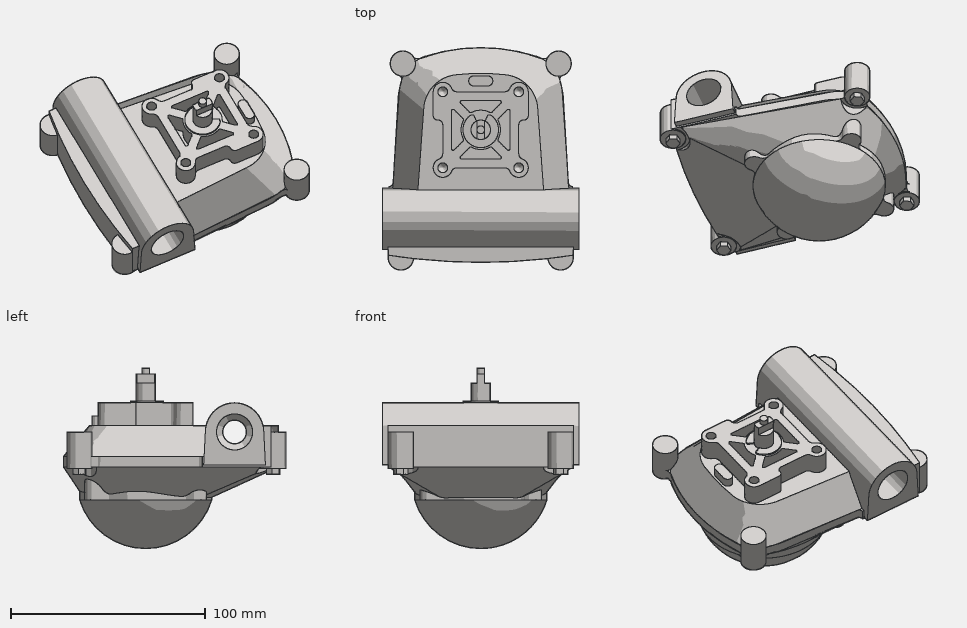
import cadquery as cq
import math


DECK_Z = -11.8
RIM_TOP_Z = -27.5
RIM_BOTTOM_Z = -33.0
DOME_TOP_Z = -49.9
DOME_BOTTOM_Z = -74.9
SINK = 1.0

SEAT_Y = -45.6
DECK_SIDE_X, DECK_SEAT_X = 29.3, 33.3
DECK_SIDE_Y = 10.4
DECK_CORNER_MID = (23.5, 23.3)
DECK_BACK_CORNER = (13.5, 28.2)
DECK_BACK_Y = 29.0
RIM_SEAT_X = 46.3
RIM_SIDE = (41.7, 20.8)
RIM_CORNER_MID = (36.9, 32.0)
RIM_BACK_CORNER = (28.5, 37.8)
RIM_BACK_Y = 42.22
SIDE_END = (42.4, 16.9)
SIDE_BEND_MID = (41.8, 20.8)
WEB_X, WEB_START_Y, WEB_BACK_Y = 40.8, 24.3, 36.7
WEB_BACK_END_X = 30.5
WEB_FILLET = 1.2
FLARE_TOP = (45.0, -26.9)
FLARE_RADIUS = 2.2
FLARE_HALF_WIDTH = FLARE_TOP[0] + FLARE_RADIUS
FRONT_HALF_WIDTH = 47.6
FRONT_CORNER_Y, FRONT_Y = -64.3, -68.1
COVER_FOOT_RADIUS = 31.0

CONDUIT_LENGTH = 101.0
CONDUIT_RADIUS = 15.0
CONDUIT_FOOT_HALF_WIDTH = 15.85
CONDUIT_BOTTOM_Z = -31.9
ENTRY_DIAMETER, BORE_DIAMETER = 18.5, 12.0
ENTRY_DEPTH = 25.0
DRILL_POINT_ANGLE = 118.0

BACK_POST_RADIUS, FRONT_POST_RADIUS = 6.5, 6.6
BACK_POST = (40.0, 34.0)
FRONT_POST = (41.0, -65.42)
POST_TOP_Z, POST_BOTTOM_Z = -15.1, -33.8
HEAD_BOTTOM_Z = -36.8
HEAD_CORNER_DIAMETER, HEAD_TURN = 7.4, -8.0
SPOTFACE_RADIUS = 8.8

DOME_RADIUS = 34.0
EAR_OFFSET, EAR_RADIUS, EAR_FILLET = 26.3, 5.0, 3.6

PLATE_HOLE_OFFSET, PLATE_HOLE_DIAMETER = 19.5, 5.0
PLATE_HOLE_DEPTH = 10.0
PLATE_EAR_RADIUS = 4.9
PLATE_FILLET, LUG_FILLET = 3.0, 2.35
LUG_BOTTOM_Y = 5.0
POCKET_REACH, HUB_RADIUS, RIB_WIDTH = 15.0, 10.1, 4.7
POCKET_CORNER_RADIUS = 0.8

PAD_Y, PAD_LENGTH, PAD_WIDTH, PAD_TOP_Z = 25.1, 12.4, 5.1, -6.8

STEM_RADIUS, STEM_TOP_Z = 5.0, 10.1
TANG_THICKNESS, TANG_TOP_Z = 4.0, 14.8
TIP_RADIUS, TIP_TOP_Z = 2.0, 17.8
CLIP_RADIUS, CLIP_THICKNESS = 9.15, 0.8
CLIP_MOUTH_NECK, CLIP_MOUTH_WIDTH = 3.9, 7.4
CLIP_MOUTH_Y, CLIP_PRONG_Y = 4.0, 7.7


def mirrored(point):
    return (-point[0], point[1])


def both_sides(point):
    return [point, mirrored(point)]


def corner_points(offset):
    return [(x, y) for x in (-offset, offset) for y in (-offset, offset)]


def cylinder(radius, bottom, top, center=(0, 0)):
    return cq.Workplane("XY", (*center, bottom)).circle(radius).extrude(top - bottom)


def fillet_upright_edges(body, points, mid_z, radius):
    """Round the vertical edge nearest to each (x, y) point at height mid_z."""
    for x, y in points:
        body = body.edges(cq.selectors.NearestToPointSelector((x, y, mid_z))).fillet(radius)
    return body


def drill_point_depth(radius_step):
    return radius_step / math.tan(math.radians(DRILL_POINT_ANGLE / 2))


def ruled_loft(upper, lower):
    return cq.Workplane(cq.Solid.makeLoft([upper.val(), lower.val()], True))


def housing_outline(z, seat_x, side, corner_mid, back_corner, back_y):
    """Closed outline from the conduit axis round the back of the housing."""
    return (
        cq.Workplane("XY", (0, 0, z))
        .moveTo(-seat_x, SEAT_Y)
        .lineTo(seat_x, SEAT_Y)
        .lineTo(*side)
        .threePointArc(corner_mid, back_corner)
        .threePointArc((0, back_y), mirrored(back_corner))
        .threePointArc(mirrored(corner_mid), mirrored(side))
        .close()
    )


def sloped_housing():
    deck = housing_outline(
        DECK_Z, DECK_SEAT_X, (DECK_SIDE_X, DECK_SIDE_Y), DECK_CORNER_MID, DECK_BACK_CORNER, DECK_BACK_Y
    )
    rim_edge = housing_outline(RIM_TOP_Z, RIM_SEAT_X, RIM_SIDE, RIM_CORNER_MID, RIM_BACK_CORNER, RIM_BACK_Y)
    return ruled_loft(deck.wires(), rim_edge.wires())


def post(center, radius):
    head = (
        cq.Workplane("XY")
        .polygon(6, HEAD_CORNER_DIAMETER)
        .extrude(POST_BOTTOM_Z - HEAD_BOTTOM_Z + SINK)
        .rotate((0, 0, 0), (0, 0, 1), HEAD_TURN)
        .translate((*center, HEAD_BOTTOM_Z))
    )
    return cylinder(radius, POST_BOTTOM_Z, POST_TOP_Z, center).union(head)


def rim():
    """Vertical-walled band whose square back corners blend into the back posts."""
    flare_x, flare_y = FLARE_TOP
    flare_end = (FLARE_HALF_WIDTH, flare_y - FLARE_RADIUS)
    bulge = FLARE_RADIUS * (1 - math.sqrt(0.5))
    flare_mid = (flare_x + bulge, flare_y - FLARE_RADIUS + bulge)
    web_back_end = (WEB_BACK_END_X, WEB_BACK_Y)
    web_start = (WEB_X, WEB_START_Y)
    band = (
        cq.Workplane("XY", (0, 0, RIM_BOTTOM_Z))
        .moveTo(-FRONT_HALF_WIDTH, FRONT_CORNER_Y)
        .threePointArc((0, FRONT_Y), (FRONT_HALF_WIDTH, FRONT_CORNER_Y))
        .lineTo(FLARE_HALF_WIDTH, SEAT_Y)
        .lineTo(*flare_end)
        .threePointArc(flare_mid, FLARE_TOP)
        .lineTo(*SIDE_END)
        .threePointArc(SIDE_BEND_MID, web_start)
        .lineTo(WEB_X, WEB_BACK_Y)
        .lineTo(*web_back_end)
        .threePointArc((0, RIM_BACK_Y), mirrored(web_back_end))
        .lineTo(-WEB_X, WEB_BACK_Y)
        .lineTo(*mirrored(web_start))
        .threePointArc(mirrored(SIDE_BEND_MID), mirrored(SIDE_END))
        .lineTo(*mirrored(FLARE_TOP))
        .threePointArc(mirrored(flare_mid), mirrored(flare_end))
        .lineTo(-FLARE_HALF_WIDTH, SEAT_Y)
        .close()
        .extrude(RIM_TOP_Z - RIM_BOTTOM_Z)
    )
    post_x, post_y = BACK_POST
    side_joint = (WEB_X, post_y - math.sqrt(BACK_POST_RADIUS**2 - (WEB_X - post_x) ** 2))
    back_joint = (post_x - math.sqrt(BACK_POST_RADIUS**2 - (WEB_BACK_Y - post_y) ** 2), WEB_BACK_Y)
    for center in both_sides(BACK_POST):
        band = band.union(post(center, BACK_POST_RADIUS))
    mid_z = (RIM_BOTTOM_Z + RIM_TOP_Z) / 2
    joints = both_sides(side_joint) + both_sides(back_joint)
    return fillet_upright_edges(band, joints, mid_z, WEB_FILLET)


def front_wall():
    return (
        cq.Workplane("XY", (0, 0, RIM_BOTTOM_Z))
        .moveTo(-FLARE_HALF_WIDTH, SEAT_Y)
        .lineTo(-FRONT_HALF_WIDTH, FRONT_CORNER_Y)
        .threePointArc((0, FRONT_Y), (FRONT_HALF_WIDTH, FRONT_CORNER_Y))
        .lineTo(FLARE_HALF_WIDTH, SEAT_Y)
        .close()
        .extrude(DECK_Z - RIM_BOTTOM_Z)
    )


def cover():
    """Tapered underside, from the rim outline down to a circle."""
    corners = [
        (FRONT_HALF_WIDTH, FRONT_CORNER_Y),
        (WEB_X, WEB_START_Y),
        RIM_BACK_CORNER,
    ]
    angles = [math.atan2(y, x) for x, y in corners]

    def foot(angle):
        return (COVER_FOOT_RADIUS * math.cos(angle), COVER_FOOT_RADIUS * math.sin(angle))

    front, side, back = corners
    upper = (
        cq.Workplane("XY", (0, 0, RIM_BOTTOM_Z))
        .moveTo(*mirrored(front))
        .threePointArc((0, FRONT_Y), front)
        .lineTo(*side)
        .threePointArc(RIM_CORNER_MID, back)
        .threePointArc((0, RIM_BACK_Y), mirrored(back))
        .threePointArc(mirrored(RIM_CORNER_MID), mirrored(side))
        .close()
    )
    foot_front, foot_side, foot_back = [foot(angle) for angle in angles]
    foot_side_mid = foot((angles[0] + angles[1]) / 2)
    foot_corner_mid = foot((angles[1] + angles[2]) / 2)
    lower = (
        cq.Workplane("XY", (0, 0, DOME_TOP_Z))
        .moveTo(*mirrored(foot_front))
        .threePointArc((0, -COVER_FOOT_RADIUS), foot_front)
        .threePointArc(foot_side_mid, foot_side)
        .threePointArc(foot_corner_mid, foot_back)
        .threePointArc((0, COVER_FOOT_RADIUS), mirrored(foot_back))
        .threePointArc(mirrored(foot_corner_mid), mirrored(foot_side))
        .threePointArc(mirrored(foot_side_mid), mirrored(foot_front))
        .close()
    )
    return ruled_loft(upper.wires(), lower.wires())


def conduit():
    """Barrel with a round top on slightly spreading straight walls."""
    axis_z = -CONDUIT_RADIUS
    return (
        cq.Workplane("YZ", (-CONDUIT_LENGTH / 2, 0, 0))
        .moveTo(SEAT_Y - CONDUIT_FOOT_HALF_WIDTH, CONDUIT_BOTTOM_Z)
        .lineTo(SEAT_Y - CONDUIT_RADIUS, axis_z)
        .threePointArc((SEAT_Y, 0), (SEAT_Y + CONDUIT_RADIUS, axis_z))
        .lineTo(SEAT_Y + CONDUIT_FOOT_HALF_WIDTH, CONDUIT_BOTTOM_Z)
        .close()
        .extrude(CONDUIT_LENGTH)
    )


def conduit_bore():
    """Through bore with a wider drilled entry, ending in a cone, at each end."""
    half = CONDUIT_LENGTH / 2
    entry_end = half - ENTRY_DEPTH
    cone_end = entry_end - drill_point_depth((ENTRY_DIAMETER - BORE_DIAMETER) / 2)
    profile = [
        (-half, 0),
        (-half, ENTRY_DIAMETER / 2),
        (-entry_end, ENTRY_DIAMETER / 2),
        (-cone_end, BORE_DIAMETER / 2),
        (cone_end, BORE_DIAMETER / 2),
        (entry_end, ENTRY_DIAMETER / 2),
        (half, ENTRY_DIAMETER / 2),
        (half, 0),
    ]
    return (
        cq.Workplane("XY", (0, SEAT_Y, -CONDUIT_RADIUS))
        .polyline(profile)
        .close()
        .revolve(360, (0, 0, 0), (1, 0, 0))
    )


def dome():
    rise = DOME_TOP_Z - DOME_BOTTOM_Z
    sphere_radius = (DOME_RADIUS**2 + rise**2) / (2 * rise)
    half_angle = math.asin(DOME_RADIUS / sphere_radius) / 2
    mid_radius = sphere_radius * math.sin(half_angle)
    mid_z = DOME_BOTTOM_Z + sphere_radius * (1 - math.cos(half_angle))
    return (
        cq.Workplane("XZ")
        .moveTo(0, DOME_BOTTOM_Z)
        .threePointArc((mid_radius, mid_z), (DOME_RADIUS, DOME_TOP_Z))
        .lineTo(0, DOME_TOP_Z)
        .close()
        .revolve(360, (0, 0, 0), (0, 1, 0))
    )


def dome_flange():
    """Round flange with four screw ears blended into it."""
    flange = cylinder(DOME_RADIUS, DOME_TOP_Z, RIM_BOTTOM_Z)
    for center in corner_points(EAR_OFFSET):
        flange = flange.union(cylinder(EAR_RADIUS, DOME_TOP_Z, RIM_BOTTOM_Z, center))
    return flange.edges("|Z").fillet(EAR_FILLET)


def plate_pocket():
    """Trapezoid between two diagonal ribs, opening towards +Y."""
    rib_offset = RIB_WIDTH / math.sqrt(2)
    outer_x = POCKET_REACH - rib_offset
    depth = -DECK_Z
    wedge = (
        cq.Workplane("XY", (0, 0, DECK_Z))
        .polyline([(0, rib_offset), (outer_x, POCKET_REACH), (-outer_x, POCKET_REACH)])
        .close()
        .extrude(depth)
    )
    return wedge.cut(cylinder(HUB_RADIUS, DECK_Z, 0)).edges("|Z").fillet(POCKET_CORNER_RADIUS)


def plate_hole(center):
    """Blind drilled hole with a conical bottom."""
    radius = PLATE_HOLE_DIAMETER / 2
    profile = [
        (0, 0),
        (radius, 0),
        (radius, -PLATE_HOLE_DEPTH),
        (0, -PLATE_HOLE_DEPTH - drill_point_depth(radius)),
    ]
    return (
        cq.Workplane("XZ")
        .polyline(profile)
        .close()
        .revolve(360, (0, 0, 0), (0, 1, 0))
        .translate((*center, 0))
    )


def mounting_plate():
    bottom = DECK_Z - SINK
    height = -bottom
    side = 2 * PLATE_HOLE_OFFSET
    plate = cq.Workplane("XY", (0, 0, bottom)).rect(side, side).extrude(height)
    lug_height = PLATE_HOLE_OFFSET - LUG_BOTTOM_Y
    lugs = (
        cq.Workplane("XY", (0, LUG_BOTTOM_Y + lug_height / 2, bottom))
        .rect(side + 2 * PLATE_EAR_RADIUS, lug_height)
        .extrude(height)
        .edges("|Z and <Y")
        .fillet(LUG_FILLET)
    )
    plate = plate.union(lugs)
    for center in corner_points(PLATE_HOLE_OFFSET):
        plate = plate.union(cylinder(PLATE_EAR_RADIUS, bottom, 0, center))
    inner = PLATE_HOLE_OFFSET - PLATE_EAR_RADIUS
    ear_corners = []
    for y in (-PLATE_HOLE_OFFSET, PLATE_HOLE_OFFSET):
        ear_corners += both_sides((inner, y))
    ear_corners += both_sides((PLATE_HOLE_OFFSET, -inner))
    mid_z = bottom + height / 2
    plate = fillet_upright_edges(plate, ear_corners, mid_z, PLATE_FILLET)
    plate = fillet_upright_edges(plate, both_sides((PLATE_HOLE_OFFSET, LUG_BOTTOM_Y)), mid_z, LUG_FILLET)
    for turn in range(0, 360, 90):
        plate = plate.cut(plate_pocket().rotate((0, 0, 0), (0, 0, 1), turn))
    return plate


def locating_pad():
    return (
        cq.Workplane("XY", (0, PAD_Y, DECK_Z - SINK))
        .slot2D(PAD_LENGTH, PAD_WIDTH)
        .extrude(PAD_TOP_Z - DECK_Z + SINK)
    )


def stem():
    shaft = cylinder(STEM_RADIUS, -SINK, STEM_TOP_Z)
    tang = cylinder(STEM_RADIUS, STEM_TOP_Z, TANG_TOP_Z).intersect(
        cq.Workplane("XY").box(TANG_THICKNESS, 2 * STEM_RADIUS, 2 * TANG_TOP_Z)
    )
    return shaft.union(tang).union(cylinder(TIP_RADIUS, TANG_TOP_Z, TIP_TOP_Z))


def retaining_clip():
    """Thin ring with a widening mouth towards +Y."""
    mouth = (
        cq.Workplane("XY")
        .polyline(
            [
                (-CLIP_MOUTH_NECK / 2, CLIP_MOUTH_Y),
                (CLIP_MOUTH_NECK / 2, CLIP_MOUTH_Y),
                (CLIP_MOUTH_WIDTH / 2, CLIP_PRONG_Y),
                (CLIP_RADIUS, CLIP_PRONG_Y),
                (CLIP_RADIUS, CLIP_RADIUS),
                (-CLIP_RADIUS, CLIP_RADIUS),
                (-CLIP_RADIUS, CLIP_PRONG_Y),
                (-CLIP_MOUTH_WIDTH / 2, CLIP_PRONG_Y),
            ]
        )
        .close()
        .extrude(CLIP_THICKNESS)
    )
    return cylinder(CLIP_RADIUS, 0, CLIP_THICKNESS).cut(mouth)


front_posts = both_sides(FRONT_POST)

underside = cover()
for post_center in front_posts + both_sides(BACK_POST):
    underside = underside.cut(cylinder(SPOTFACE_RADIUS, DOME_TOP_Z, RIM_BOTTOM_Z, post_center))

result = rim().union(underside)
for feature in (dome_flange(), dome(), sloped_housing(), front_wall(), conduit()):
    result = result.union(feature)
for post_center in front_posts:
    result = result.union(post(post_center, FRONT_POST_RADIUS))
result = result.cut(conduit_bore())
for feature in (mounting_plate(), locating_pad(), retaining_clip(), stem()):
    result = result.union(feature)
for hole_center in corner_points(PLATE_HOLE_OFFSET):
    result = result.cut(plate_hole(hole_center))